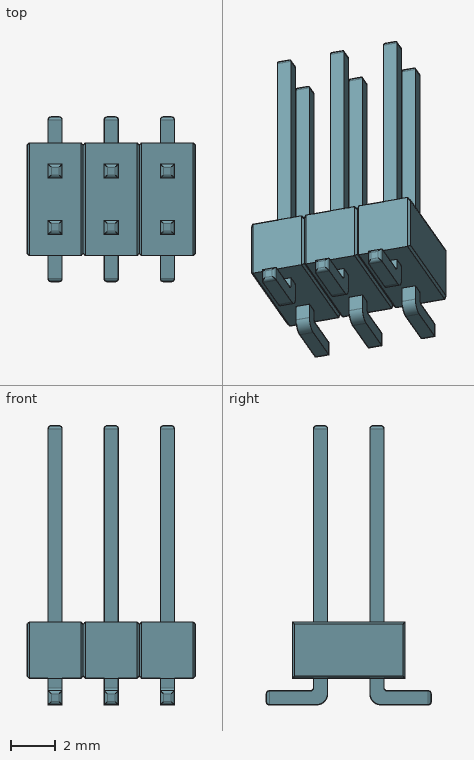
import cadquery as cq
import math


module_count = 3
module_pitch = 2.52
row_pitch = 2.53

housing_width = module_pitch
housing_depth = 2 * row_pitch
housing_height = 2.53
housing_bottom = 1.19
housing_chamfer = 0.1

pin_size = 0.64
pin_height = 12.52
foot_span = 7.4
bend_inner_radius = 0.13
bend_outer_radius = 0.5
tip_fillet = 0.15


def make_housing():
    """Block centred on X and Y with both X end faces chamfered all round."""
    block = cq.Workplane("XY").box(
        housing_width, housing_depth, housing_height, centered=(True, True, False)
    )
    chamfered = block.faces("<X or >X").edges().chamfer(housing_chamfer)
    return chamfered.translate((0, 0, housing_bottom))


def make_pin():
    """L-shaped pin in the +Y row, with its foot pointing toward +Y and resting on Z = 0."""
    inner_y = (row_pitch - pin_size) / 2
    outer_y = inner_y + pin_size
    foot_end_y = foot_span / 2
    diagonal = math.sqrt(0.5)

    outer_arc_offset = bend_outer_radius * (1 - diagonal)
    inner_arc_offset = bend_inner_radius * (1 - diagonal)

    profile = (
        cq.Workplane("YZ", origin=(-pin_size / 2, 0, 0))
        .moveTo(inner_y, pin_height)
        .lineTo(inner_y, bend_outer_radius)
        .threePointArc(
            (inner_y + outer_arc_offset, outer_arc_offset),
            (inner_y + bend_outer_radius, 0),
        )
        .lineTo(foot_end_y, 0)
        .lineTo(foot_end_y, pin_size)
        .lineTo(outer_y + bend_inner_radius, pin_size)
        .threePointArc(
            (outer_y + inner_arc_offset, pin_size + inner_arc_offset),
            (outer_y, pin_size + bend_inner_radius),
        )
        .lineTo(outer_y, pin_height)
        .close()
    )
    pin = profile.extrude(pin_size)

    pin = pin.faces(">Z").edges().fillet(tip_fillet)
    return pin.faces(">Y").edges().fillet(tip_fillet)


def make_module():
    """Housing block joined with a pair of pins whose feet point apart."""
    pin = make_pin()
    opposite_pin = pin.mirror("XZ")
    return make_housing().union(pin).union(opposite_pin)


module = make_module()
modules = []
for index in range(module_count):
    module_x = (index - (module_count - 1) / 2) * module_pitch
    modules.append(module.translate((module_x, 0, 0)).val())

result = cq.Compound.makeCompound(modules)